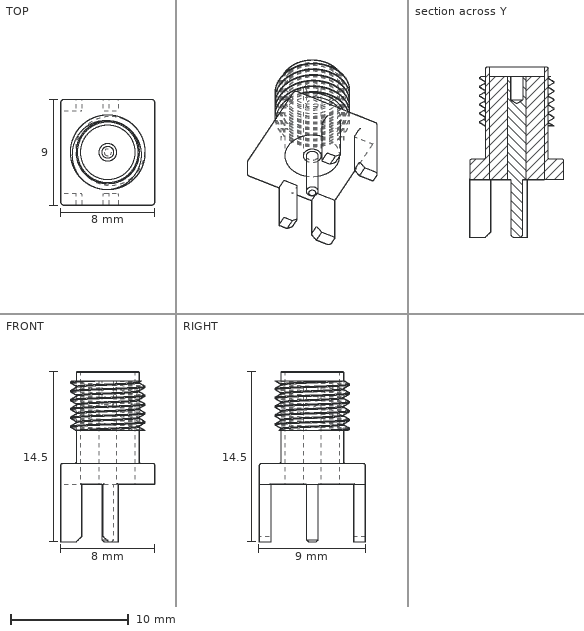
import cadquery as cq
import math

PLATE_LENGTH = 8.0
PLATE_WIDTH = 9.0
PLATE_THICKNESS = 1.8
CORNER_RADIUS = 0.3
TOP_EDGE_RADIUS = 0.2
LOWER_EDGE_RADIUS = 0.1

LEG_LENGTH = 4.9
LEG_THICKNESS = 1.0
CORNER_LEG_WIDTH = 1.8
LEG_GAP = 1.8
MIDDLE_LEG_WIDTH = 1.3
LEG_TIP_CHAMFER = 0.5

BARREL_DIAMETER = 5.35
BARREL_HEIGHT = 7.8
BARREL_RIM_CHAMFER = 0.1
BARREL_ROOT_FILLET = 0.1
BORE_DIAMETER = 4.63
RECESS_DEPTH = 0.8

THREAD_MAJOR_DIAMETER = 6.35
THREAD_MINOR_DIAMETER = 5.37
THREAD_PITCH = 0.75
THREAD_LENGTH = 4.2
THREAD_TOP_OFFSET = 0.8
ROOT_FLAT_RATIO = 1 / 8
THREAD_FLANK_HALF_ANGLE = math.radians(30)
LOWEST_CREST_OFFSET = 0.31
GROOVE_OVERSHOOT = 0.05

CONTACT_DIAMETER = 1.5
SOCKET_DIAMETER = 1.0
SOCKET_DEPTH = 2.0
SOCKET_TIP_HALF_ANGLE = math.radians(59)
TAIL_DIAMETER = 1.0
TAIL_CHAMFER = 0.2

TOLERANCE = 1e-4

BARREL_TOP = PLATE_THICKNESS + BARREL_HEIGHT
INSULATOR_TOP = BARREL_TOP - RECESS_DEPTH
THREAD_TOP = BARREL_TOP - THREAD_TOP_OFFSET
THREAD_BOTTOM = THREAD_TOP - THREAD_LENGTH
CORNER_LEG_START = -PLATE_LENGTH / 2
CORNER_LEG_END = CORNER_LEG_START + CORNER_LEG_WIDTH
MIDDLE_LEG_START = CORNER_LEG_END + LEG_GAP
MIDDLE_LEG_END = MIDDLE_LEG_START + MIDDLE_LEG_WIDTH


def cylinder(diameter, bottom, top):
    """Upright cylinder on the barrel axis."""
    return cq.Workplane("XY", origin=(0, 0, bottom)).circle(diameter / 2).extrude(top - bottom)


def make_clearance(length, width, start_x):
    """Box below the seating plane that frees the space between the legs."""
    center_x = start_x + length / 2
    return cq.Workplane("XY").center(center_x, 0).rect(length, width).extrude(-LEG_LENGTH)


def make_leg_tip_cutter(edge_x, inward):
    """Wedge across the whole width that chamfers the leg tip edge at edge_x."""
    return (
        cq.Workplane("XZ", origin=(0, PLATE_WIDTH / 2, 0))
        .moveTo(edge_x, -LEG_LENGTH)
        .lineTo(edge_x + inward * LEG_TIP_CHAMFER, -LEG_LENGTH)
        .lineTo(edge_x, -LEG_LENGTH + LEG_TIP_CHAMFER)
        .close()
        .extrude(PLATE_WIDTH)
    )


def is_lower_edge(edge):
    """True for the outer edges of the plate underside and the sharp long edges of the legs."""
    box = edge.BoundingBox()
    center = edge.Center()
    in_seating_plane = box.zlen < TOLERANCE and abs(center.z) < TOLERANCE
    near_end = PLATE_LENGTH / 2 - abs(center.x) < CORNER_RADIUS
    near_side = PLATE_WIDTH / 2 - abs(center.y) < CORNER_RADIUS
    is_leg_edge = abs(box.zlen - LEG_LENGTH) < TOLERANCE
    return is_leg_edge or (in_seating_plane and (near_end or near_side))


def make_base():
    """Mounting plate with its four legs, carved from one rounded block."""
    base = (
        cq.Workplane("XY", origin=(0, 0, -LEG_LENGTH))
        .rect(PLATE_LENGTH, PLATE_WIDTH)
        .extrude(LEG_LENGTH + PLATE_THICKNESS)
        .edges("|Z")
        .fillet(CORNER_RADIUS)
        .faces(">Z")
        .edges()
        .fillet(TOP_EDGE_RADIUS)
    )
    inner_width = PLATE_WIDTH - 2 * LEG_THICKNESS
    base = base.cut(make_clearance(PLATE_LENGTH, inner_width, CORNER_LEG_START))
    base = base.cut(make_clearance(LEG_GAP, PLATE_WIDTH, CORNER_LEG_END))
    base = base.cut(make_clearance(PLATE_LENGTH / 2 - MIDDLE_LEG_END, PLATE_WIDTH, MIDDLE_LEG_END))

    lower_edges = [edge for edge in base.edges().vals() if is_lower_edge(edge)]
    base = base.newObject(lower_edges).fillet(LOWER_EDGE_RADIUS)
    base = base.cut(make_leg_tip_cutter(CORNER_LEG_END, -1))
    return base.cut(make_leg_tip_cutter(MIDDLE_LEG_START, 1))


def make_housing():
    """Base and barrel in one piece, bored through for the insulator."""
    barrel = cylinder(BARREL_DIAMETER, 0, BARREL_TOP).faces(">Z").chamfer(BARREL_RIM_CHAMFER)
    around_barrel_root = cq.selectors.BoxSelector(
        (-BARREL_DIAMETER, -BARREL_DIAMETER, PLATE_THICKNESS - TOLERANCE),
        (BARREL_DIAMETER, BARREL_DIAMETER, PLATE_THICKNESS + TOLERANCE),
    )
    housing = make_base().union(barrel)
    housing = housing.edges("%CIRCLE").edges(around_barrel_root).fillet(BARREL_ROOT_FILLET)
    return housing.cut(cylinder(BORE_DIAMETER, 0, BARREL_TOP))


def make_thread():
    """Threaded sleeve around the barrel: a ring with one helical groove cut into it."""
    ring = cylinder(THREAD_MAJOR_DIAMETER, THREAD_BOTTOM, THREAD_TOP)
    ring = ring.cut(cylinder(BARREL_DIAMETER, THREAD_BOTTOM, THREAD_TOP))
    root_radius = THREAD_MINOR_DIAMETER / 2
    root_half = THREAD_PITCH * ROOT_FLAT_RATIO / 2
    outer_radius = THREAD_MAJOR_DIAMETER / 2 + GROOVE_OVERSHOOT
    outer_half = root_half + (outer_radius - root_radius) * math.tan(THREAD_FLANK_HALF_ANGLE)
    start = THREAD_BOTTOM + LOWEST_CREST_OFFSET - 2 * THREAD_PITCH
    turns = math.ceil(THREAD_LENGTH / THREAD_PITCH) + 2
    path = cq.Wire.makeHelix(THREAD_PITCH, turns * THREAD_PITCH, root_radius, cq.Vector(0, 0, start))
    groove = (
        cq.Workplane("XZ")
        .polyline(
            [
                (root_radius, start - root_half),
                (outer_radius, start - outer_half),
                (outer_radius, start + outer_half),
                (root_radius, start + root_half),
            ]
        )
        .close()
        .sweep(cq.Workplane(path), isFrenet=True)
    )
    return ring.cut(groove)


def make_contact():
    """Turned contact: a socket at the top and a thinner solder tail below the plate."""
    contact = cylinder(CONTACT_DIAMETER, 0, INSULATOR_TOP)
    tail = cylinder(TAIL_DIAMETER, -LEG_LENGTH, 0).faces("<Z").chamfer(TAIL_CHAMFER)
    socket_radius = SOCKET_DIAMETER / 2
    socket_bottom = INSULATOR_TOP - SOCKET_DEPTH
    socket = (
        cq.Workplane("XZ")
        .moveTo(0, INSULATOR_TOP)
        .lineTo(socket_radius, INSULATOR_TOP)
        .lineTo(socket_radius, socket_bottom)
        .lineTo(0, socket_bottom - socket_radius / math.tan(SOCKET_TIP_HALF_ANGLE))
        .close()
        .revolve(360, (0, 0, 0), (0, 1, 0))
    )
    return contact.union(tail).cut(socket)


def make_insulator():
    """Sleeve that fills the bore around the contact, flush with the seating plane."""
    insulator = cylinder(BORE_DIAMETER, 0, INSULATOR_TOP)
    return insulator.cut(cylinder(CONTACT_DIAMETER, 0, INSULATOR_TOP))


housing = make_housing()
thread = make_thread()
insulator = make_insulator()
contact = make_contact()

result = cq.Compound.makeCompound(
    [
        housing.solids().val(),
        thread.solids().val(),
        insulator.solids().val(),
        contact.solids().val(),
    ]
)